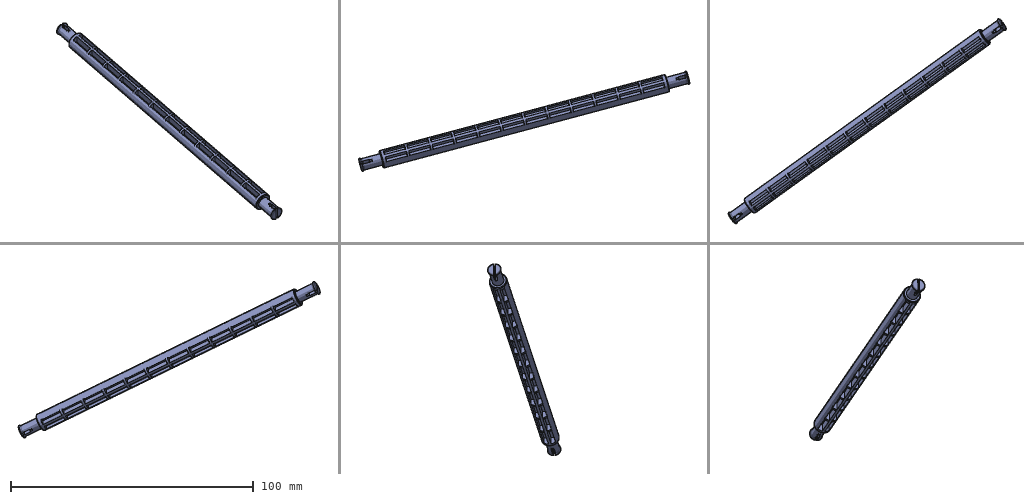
import cadquery as cq

total_length = 140.2
body_length = 122.4
body_diameter = 7.5
body_chamfer = 0.35
journal_diameter = 4.9

lip_diameter = 5.6
lip_height = (lip_diameter - journal_diameter) / 2
lip_length = 1.1
lip_flare_length = 0.5

pockets_per_row = 12
pocket_length = 9.0
pocket_row_length = 119.0
pocket_pitch = (pocket_row_length - pocket_length) / (pockets_per_row - 1)
pocket_inner_y = 0.5
pocket_outer_y = 2.4
pocket_floor_z = 0.5

slit_width = 0.77
slit_length = 5.0
window_width = 1.3
window_length = 2.7
window_end_offset = 1.3


def make_body():
    """Thick middle cylinder along X with chamfered ends."""
    body = cq.Workplane("YZ", origin=(-body_length / 2, 0, 0)).circle(body_diameter / 2).extrude(body_length)
    return body.faces("<X or >X").chamfer(body_chamfer)


def make_journals():
    """One long bar through the body, with a snap lip at each tip."""
    tip_x = total_length / 2
    journal_radius = journal_diameter / 2
    half_profile = (
        cq.Workplane("XY")
        .lineTo(0, journal_radius)
        .lineTo(tip_x - lip_length, journal_radius)
        .tangentArcPoint((lip_flare_length, lip_height))
        .lineTo(tip_x - lip_height, lip_diameter / 2)
        .tangentArcPoint((lip_height, -lip_height))
        .lineTo(tip_x, 0)
        .close()
    )
    half = half_profile.revolve(360, (0, 0, 0), (1, 0, 0))
    return half.union(half.mirror("YZ"))


def make_pockets():
    """Rectangular pockets in four rows, placed symmetrically about the axis."""
    pocket_width = pocket_outer_y - pocket_inner_y
    row_spacing = pocket_outer_y + pocket_inner_y
    top_pockets = (
        cq.Workplane("XY", origin=(0, 0, pocket_floor_z))
        .rarray(pocket_pitch, row_spacing, pockets_per_row, 2)
        .rect(pocket_length, pocket_width)
        .extrude(body_diameter / 2)
    )
    return top_pockets.add(top_pockets.mirror("XY")).combine()


def make_tip_split(side):
    """Vertical slit and window through one tip; side is -1 or 1."""
    tip_x = side * total_length / 2
    slit_x = tip_x - side * slit_length / 2
    window_x = tip_x - side * (window_end_offset + window_length / 2)
    slit = cq.Workplane("XY").center(slit_x, 0).box(slit_length, slit_width, body_diameter)
    window = cq.Workplane("XY").center(window_x, 0).box(window_length, window_width, body_diameter)
    return slit.union(window)


result = make_body().union(make_journals()).cut(make_pockets())
for side in (-1, 1):
    result = result.cut(make_tip_split(side))